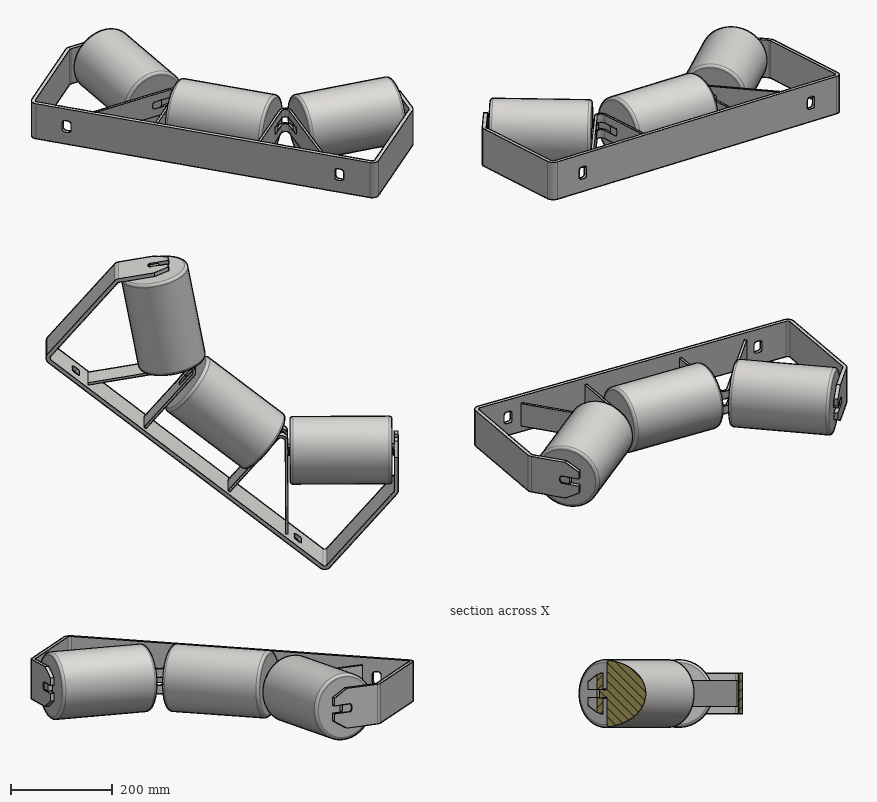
import cadquery as cq
import math

frame_width = 720.0
bar_height = 80.0
bar_thickness = 8.0
bar_inner_bend = 6.0
bar_outer_bend = bar_inner_bend + bar_thickness
arm_reach = 30.0
arm_chamfer_length = 28.0
arm_chamfer_height = 16.5

hole_offset = 283.0
hole_width = 18.0
hole_height = 26.0
hole_corner_radius = 6.0

strip_height = 50.5
strip_thickness = 5.0
strip_inner_bend = 8.0
strip_outer_bend = strip_inner_bend + strip_thickness

roller_diameter = 133.0
roller_length = 200.0
roller_edge_radius = 6.0
end_gap = 4.0
stub_radius = 10.0
stub_width = 16.0
collar_length = end_gap / 2
stub_length = end_gap + strip_thickness

roller_tilt = 40.0
middle_roller_y = 125.0
axis_below_bend = 30.0

tilt = math.radians(roller_tilt)
slope = cq.Vector(math.sin(tilt), math.cos(tilt))
outward = cq.Vector(-math.cos(tilt), math.sin(tilt))

end_distance = roller_length / 2 + end_gap
bend_center = cq.Vector(-end_distance - strip_outer_bend, middle_roller_y + axis_below_bend)
side_roller_center = (
    bend_center - slope * axis_below_bend + outward * (strip_outer_bend + end_distance)
)


def at_y(base, direction, y):
    """Point at the given y on the line through base along direction."""
    return base + direction * ((y - base.y) / direction.y)


def at_x(base, direction, x):
    """Point at the given x on the line through base along direction."""
    return base + direction * ((x - base.x) / direction.x)


def xy(point):
    return (point.x, point.y)


def mirrored(points):
    """The same points reflected to the right side, in reverse order."""
    return [(-x, y) for x, y in reversed(points)]


def make_stub(length):
    """D-shaped bar centred along X: flat sides, flat top, round bottom."""
    half = stub_width / 2
    flat_end = -math.sqrt(stub_radius**2 - half**2)
    return (
        cq.Workplane("YZ", origin=(-length / 2, 0, 0))
        .moveTo(stub_radius, -half)
        .lineTo(stub_radius, half)
        .lineTo(flat_end, half)
        .threePointArc((-stub_radius, 0), (flat_end, -half))
        .close()
        .extrude(length)
    )


def slot_cutter(reach, depth):
    """Slot that fits a stub and is open toward +Y, centred on the YZ plane."""
    opening = cq.Workplane("XY").box(
        depth, reach, stub_width, centered=(True, False, True)
    )
    return make_stub(depth).union(opening)


def place_on_axis(shape, center, angle):
    return shape.rotate((0, 0, 0), (0, 0, 1), angle).translate((center.x, center.y, 0))


def arm_end_cutter():
    """Stub slot plus the two corner chamfers of an arm end, centred on the roller axis."""
    depth = 2 * bar_thickness
    cutter = slot_cutter(arm_reach, depth)
    for side in (-1, 1):
        edge = side * bar_height / 2
        corner = (
            cq.Workplane("YZ", origin=(-depth / 2, 0, 0))
            .polyline([
                (arm_reach, edge),
                (arm_reach - arm_chamfer_length, edge),
                (arm_reach, edge - side * arm_chamfer_height),
            ])
            .close()
            .extrude(depth)
        )
        cutter = cutter.union(corner)
    return cutter


def make_frame():
    half = frame_width / 2
    inner_face = side_roller_center + outward * end_distance
    outer_face = inner_face + outward * bar_thickness
    arm_inner_end = inner_face + slope * arm_reach
    arm_outer_end = outer_face + slope * arm_reach
    arm_inner_corner = at_x(inner_face, slope, -half + bar_thickness)
    arm_outer_corner = at_x(outer_face, slope, -half)

    outer = [xy(arm_outer_end), xy(arm_outer_corner), (-half, 0)]
    inner = [xy(arm_inner_end), xy(arm_inner_corner), (-half + bar_thickness, bar_thickness)]
    outline = outer + mirrored(outer) + list(reversed(mirrored(inner))) + list(reversed(inner))
    bottom_plane = cq.Workplane("XY", origin=(0, 0, -bar_height / 2))
    frame = bottom_plane.polyline(outline).close().extrude(bar_height)

    for corners, radius in ((outer[1:], bar_outer_bend), (inner[1:], bar_inner_bend)):
        for x, y in corners + mirrored(corners):
            frame = frame.edges("|Z").edges(cq.NearestToPointSelector((x, y, 0))).fillet(radius)

    arm_face = side_roller_center + outward * (end_distance + bar_thickness / 2)
    cutter = arm_end_cutter()
    for side in (-1, 1):
        center = cq.Vector(-side * arm_face.x, arm_face.y)
        frame = frame.cut(place_on_axis(cutter, center, side * roller_tilt))

    holes = (
        cq.Workplane("XZ")
        .pushPoints([(-hole_offset, 0), (hole_offset, 0)])
        .rect(hole_width, hole_height)
        .extrude(-bar_thickness)
        .edges("|Y")
        .fillet(hole_corner_radius)
    )
    return frame.cut(holes)


def make_left_bracket():
    """Strip folded over its bend, the sloping leg cut square where it meets the frame base."""
    def bend_point(direction, radius):
        return bend_center + direction * radius

    right = cq.Vector(1, 0)
    crown = (right + outward).normalized()
    slope_inner_top = bend_point(outward, strip_inner_bend)
    slope_inner_foot = at_y(slope_inner_top, slope, bar_thickness)
    slope_outer_foot = slope_inner_foot + outward * strip_thickness
    upright_outer_x = bend_center.x + strip_outer_bend
    upright_inner_x = bend_center.x + strip_inner_bend

    strip = (
        cq.Workplane("XY", origin=(0, 0, -strip_height / 2))
        .moveTo(upright_outer_x, bar_thickness)
        .lineTo(upright_outer_x, bend_center.y)
        .threePointArc(
            xy(bend_point(crown, strip_outer_bend)), xy(bend_point(outward, strip_outer_bend))
        )
        .lineTo(*xy(slope_outer_foot))
        .lineTo(*xy(slope_inner_foot))
        .lineTo(*xy(slope_inner_top))
        .threePointArc(xy(bend_point(crown, strip_inner_bend)), (upright_inner_x, bend_center.y))
        .lineTo(upright_inner_x, bar_thickness)
        .close()
        .extrude(strip_height)
    )

    reach = axis_below_bend + strip_outer_bend
    cutter = slot_cutter(reach, 2 * strip_outer_bend)
    upright_axis = cq.Vector(upright_outer_x, middle_roller_y)
    sloping_axis = bend_point(outward, strip_outer_bend) - slope * axis_below_bend
    strip = strip.cut(place_on_axis(cutter, upright_axis, 0))
    return strip.cut(place_on_axis(cutter, sloping_axis, -roller_tilt))


def make_roller(center, angle):
    roller = (
        cq.Workplane("YZ", origin=(-roller_length / 2, 0, 0))
        .circle(roller_diameter / 2)
        .extrude(roller_length)
        .edges("%CIRCLE")
        .fillet(roller_edge_radius)
    )
    collar_span = roller_length + 2 * collar_length
    collars = (
        cq.Workplane("YZ", origin=(-collar_span / 2, 0, 0))
        .circle(stub_radius)
        .extrude(collar_span)
    )
    stubs = make_stub(roller_length + 2 * stub_length)
    return place_on_axis(roller.union(collars).union(stubs), center, angle)


frame = make_frame()
left_bracket = make_left_bracket()
brackets = [left_bracket, left_bracket.mirror("YZ")]
rollers = [
    make_roller(cq.Vector(-side * side_roller_center.x, side_roller_center.y), side * roller_tilt)
    for side in (-1, 1)
]
rollers.append(make_roller(cq.Vector(0, middle_roller_y), 0))

result = cq.Compound.makeCompound([body.val() for body in [frame, *brackets, *rollers]])